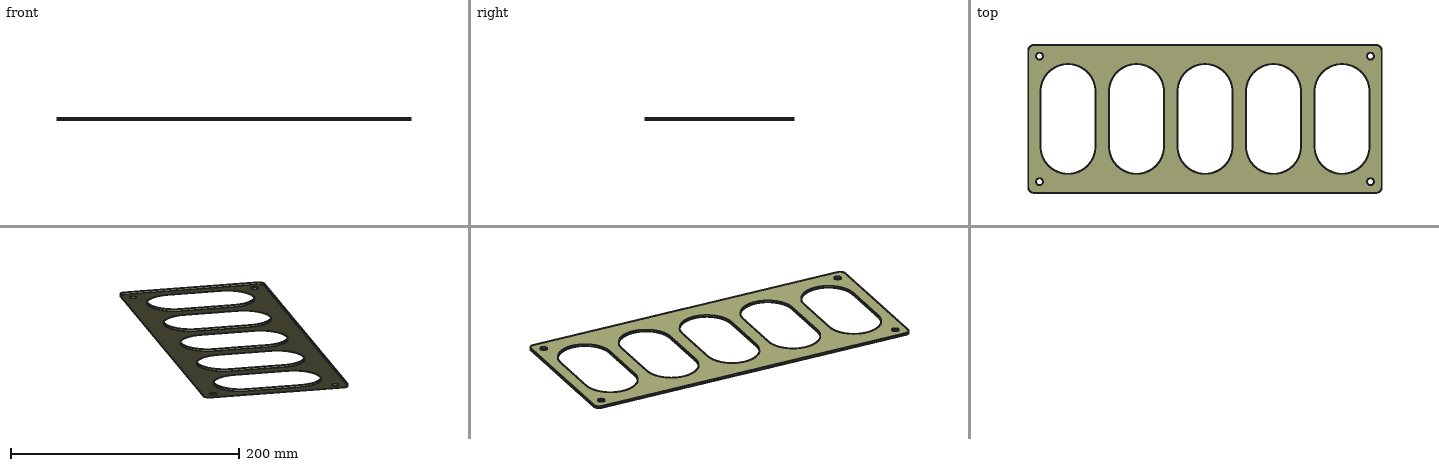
import cadquery as cq

length = 310.0
width = 130.0
thickness = 2.0
corner_radius = 5.0

window_count = 5
window_width = 48.0
window_length = 96.0
end_margin = 11.0
window_pitch = (length - 2 * end_margin - window_width) / (window_count - 1)

hole_diameter = 6.0
hole_inset = 10.0

plate = (
    cq.Workplane("XY")
    .box(length, width, thickness)
    .edges("|Z")
    .fillet(corner_radius)
)

windows = (
    cq.Workplane("XY")
    .rarray(window_pitch, 3, window_count, 1)
    .slot2D(window_length, window_width, 90)
    .extrude(thickness, both=True)
)

holes = (
    cq.Workplane("XY")
    .rarray(length - 2 * hole_inset, width - 2 * hole_inset, 2, 2)
    .circle(hole_diameter / 2)
    .extrude(thickness, both=True)
)

result = plate.cut(windows).cut(holes)